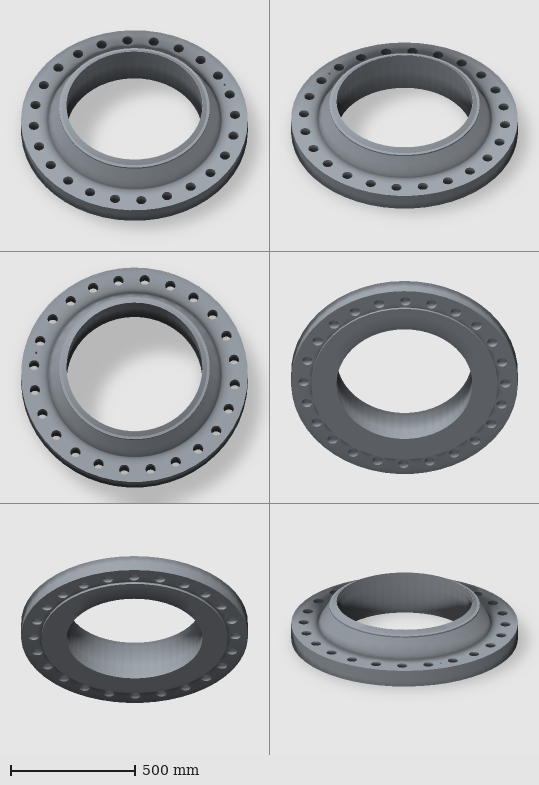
import cadquery as cq
import math

flange_diameter = 914.0
flange_thickness = 69.5

face_diameter = 751.0
face_height = 10.0

total_height = 177.0
hub_base_diameter = 702.0
hub_end_diameter = 607.0
hub_fillet_radius = 4.0
band_height = 6.0
shoulder_height = 2.0
bevel_base_diameter = 585.0
bevel_height = 14.0
bevel_end_diameter = 550.0
bore_diameter = 548.0

bolt_circle_diameter = 813.0
bolt_count = 24
bolt_hole_diameter = 41.0
small_hole_diameter = 6.0
countersink_diameter = 12.0
small_hole_depth = flange_thickness / 2

flange_bottom = face_height
flange_top = flange_bottom + flange_thickness
bevel_bottom = total_height - bevel_height
shoulder_bottom = bevel_bottom - shoulder_height
band_bottom = shoulder_bottom - band_height


def flange_body():
    """Revolve the half section of the flange and hub about Z."""
    section = [
        (bore_diameter / 2, 0),
        (face_diameter / 2, 0),
        (face_diameter / 2, flange_bottom),
        (flange_diameter / 2, flange_bottom),
        (flange_diameter / 2, flange_top),
        (hub_base_diameter / 2, flange_top),
        (hub_end_diameter / 2, band_bottom),
        (hub_end_diameter / 2, shoulder_bottom),
        (bevel_base_diameter / 2, bevel_bottom),
        (bevel_end_diameter / 2, total_height),
        (bore_diameter / 2, total_height),
    ]
    body = cq.Workplane("XZ").polyline(section).close().revolve(360, (0, 0, 0), (0, 1, 0))
    hub_foot = body.edges(cq.selectors.RadiusNthSelector(-3))
    return hub_foot.fillet(hub_fillet_radius)


def bolt_holes():
    """Cutters for the ring of through holes, the first one on +X."""
    return (
        cq.Workplane("XY")
        .workplane(offset=flange_bottom)
        .polarArray(bolt_circle_diameter / 2, 0, 360, bolt_count)
        .circle(bolt_hole_diameter / 2)
        .extrude(flange_thickness)
    )


def small_hole():
    """Cutter for the countersunk blind hole half a bolt pitch past the +Y bolt hole."""
    angle = math.radians(90 + 180 / bolt_count)
    mouth_radius = countersink_diameter / 2
    hole_radius = small_hole_diameter / 2
    center = cq.Vector(
        bolt_circle_diameter / 2 * math.cos(angle),
        bolt_circle_diameter / 2 * math.sin(angle),
        flange_top,
    )
    down = cq.Vector(0, 0, -1)
    countersink = cq.Solid.makeCone(mouth_radius, hole_radius, mouth_radius - hole_radius, center, down)
    shaft = cq.Solid.makeCylinder(hole_radius, small_hole_depth, center, down)
    return countersink.fuse(shaft)


result = flange_body().cut(bolt_holes()).cut(small_hole())